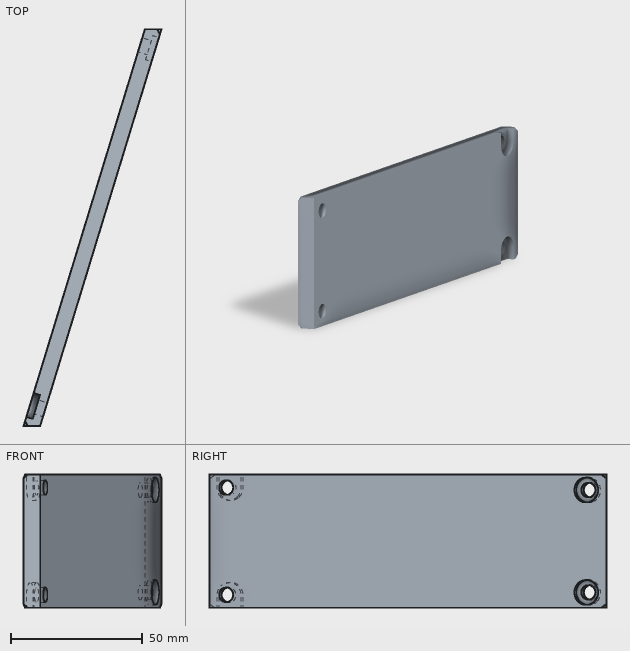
import cadquery as cq
import math

length_x = 52.5
length_y = 151.0
height = 50.8

lean_angle = math.radians(17)

hole_dia = 5.6
head_dia = 9.5
recess_depth = 2.5
near_hole_offset = 8.5
near_hole_inset = 5.0
far_hole_offset = 6.2
far_hole_inset = 5.9

facet_across = 1.7
facet_along = 2.1
facet_height = 1.5

lean_x = length_y * math.tan(lean_angle)
end_width = length_x - lean_x
thickness = end_width * math.cos(lean_angle)
face_length = length_y / math.cos(lean_angle)
along = cq.Vector(math.sin(lean_angle), math.cos(lean_angle), 0)
inward = cq.Vector(math.cos(lean_angle), -math.sin(lean_angle), 0)
across = cq.Vector(1, 0, 0)
up = cq.Vector(0, 0, 1)


def in_plate(distance, depth, z):
    """Point at a distance along the left face, at a depth below it and a height z."""
    return along * distance + inward * depth + up * z


def bore(diameter, distance, z, start_depth, depth):
    """Cylinder square to the plate faces."""
    return cq.Solid.makeCylinder(diameter / 2, depth, in_plate(distance, start_depth, z), inward)


def edge_slot(distance, z, edge_z):
    """Round-ended recess in the left face, open to the plate edge at edge_z."""
    plane = cq.Plane(origin=in_plate(distance, 0, z), xDir=along, normal=inward)
    reach = abs(edge_z - z)
    middle = plane.toLocalCoords(in_plate(distance, 0, (z + edge_z) / 2))
    straight = cq.Workplane(plane).center(middle.x, middle.y).rect(head_dia, reach).extrude(recess_depth)
    return straight.union(cq.Workplane(bore(head_dia, distance, z, 0, recess_depth)))


def corner_facet(corner, along_sign, across_sign, z_sign):
    """Tetrahedron that cuts a triangular facet at an outline corner."""
    a = corner + along * (along_sign * facet_along)
    b = corner + across * (across_sign * facet_across)
    c = corner + up * (z_sign * facet_height)
    triangles = [(corner, a, b), (corner, b, c), (corner, c, a), (a, b, c)]
    faces = [cq.Face.makeFromWires(cq.Wire.makePolygon(list(t), close=True)) for t in triangles]
    return cq.Solid.makeSolid(cq.Shell.makeShell(faces))


outline = [(0, 0), (end_width, 0), (length_x, length_y), (lean_x, length_y)]
result = cq.Workplane("XY").polyline(outline).close().extrude(height)

for z, edge_z in ((near_hole_inset, 0), (height - near_hole_inset, height)):
    result = result.cut(edge_slot(near_hole_offset, z, edge_z))
    result = result.cut(cq.Workplane(bore(hole_dia, near_hole_offset, z, 0, thickness)))

far_distance = face_length - far_hole_offset
for z in (far_hole_inset, height - far_hole_inset):
    result = result.cut(cq.Workplane(bore(hole_dia, far_distance, z, 0, thickness)))
    counterbore = bore(head_dia, far_distance, z, thickness - recess_depth, recess_depth)
    result = result.cut(cq.Workplane(counterbore))

for z, z_sign in ((0, 1), (height, -1)):
    result = result.cut(cq.Workplane(corner_facet(cq.Vector(0, 0, z), 1, 1, z_sign)))
    result = result.cut(cq.Workplane(corner_facet(cq.Vector(length_x, length_y, z), -1, -1, z_sign)))